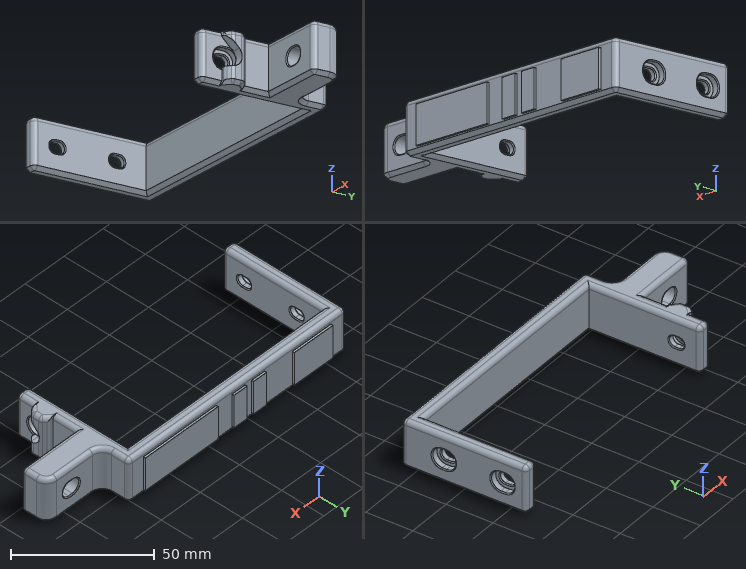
import cadquery as cq
import math

TOTAL_LENGTH = 139.4
HEIGHT = 20.0
MID_HEIGHT = HEIGHT / 2

FRAME_LENGTH = 111.4
FRAME_DEPTH = 53.1
WALL = 5.9
EDGE_RADIUS = 2.0
BASE_CHAMFER = 1.5

ARM_FRONT = 28.2
ARM_BACK = 40.3
ARM_ROOT_RADIUS = 4.6
ARM_END_RADIUS = 5.0

SLOT_STRAIGHT = 1.8
RIM_BEVEL = 0.4
ARM_HOLE_X = 126.9
ARM_HOLE_DIAMETER = 6.5
FRONT_HOLE_Y = 10.2
REAR_HOLE_Y = 35.1
LEG_HOLE_DIAMETER = 4.6
COUNTERBORE_DIAMETER = 8.1
COUNTERBORE_DEPTH = 2.9

CATCH_Y = 13.0
CATCH_REACH = 4.0
CATCH_WIDTH = 8.6
CATCH_TIP_WIDTH = 4.2
CATCH_ROOT_DEPTH = 4.2
RECESS_RADIUS = COUNTERBORE_DIAMETER / 2
RECESS_Y = 10.5
RECESS_Z = 10.5

PADS = ((7.7, 19.8), (41.7, 6.7), (51.7, 6.7), (66.5, 37.4))
PAD_THICKNESS = 1.0
PAD_BOTTOM = 2.1
PAD_TOP = 17.1


def soften_rims(body):
    """Round the top rim and bevel the bottom rim of an upright body."""
    return body.faces(">Z").edges().fillet(EDGE_RADIUS).faces("<Z").edges().chamfer(BASE_CHAMFER)


def vertical_edge(x, y):
    """Selector for the upright edge at a plan position."""
    return cq.selectors.NearestToPointSelector((x, y, MID_HEIGHT))


def make_frame():
    """U-shaped walls and the arm, as one outline."""
    outline = [
        (0, 0),
        (WALL, 0),
        (WALL, FRAME_DEPTH - WALL),
        (FRAME_LENGTH - WALL, FRAME_DEPTH - WALL),
        (FRAME_LENGTH - WALL, 0),
        (FRAME_LENGTH, 0),
        (FRAME_LENGTH, ARM_FRONT),
        (TOTAL_LENGTH, ARM_FRONT),
        (TOTAL_LENGTH, ARM_BACK),
        (FRAME_LENGTH, ARM_BACK),
        (FRAME_LENGTH, FRAME_DEPTH),
        (0, FRAME_DEPTH),
    ]
    frame = cq.Workplane("XY").polyline(outline).close().extrude(HEIGHT)
    frame = frame.edges(vertical_edge(FRAME_LENGTH, ARM_BACK)).fillet(ARM_ROOT_RADIUS)
    frame = frame.edges(vertical_edge(TOTAL_LENGTH, ARM_BACK)).fillet(ARM_END_RADIUS)
    small_corners = [
        (0, 0),
        (WALL, 0),
        (FRAME_LENGTH - WALL, 0),
        (FRAME_LENGTH, 0),
        (TOTAL_LENGTH, ARM_FRONT),
        (FRAME_LENGTH, FRAME_DEPTH),
        (0, FRAME_DEPTH),
    ]
    for x, y in small_corners:
        frame = frame.edges(vertical_edge(x, y)).fillet(EDGE_RADIUS)
    return soften_rims(frame)


def make_catch():
    """Wedge-nosed catch with flat flanks and an undercut recess open to the front."""
    root_x = FRAME_LENGTH - CATCH_ROOT_DEPTH
    tip_x = FRAME_LENGTH + CATCH_REACH
    reach = tip_x - root_x
    half_tip = CATCH_TIP_WIDTH / 2
    half_width = CATCH_WIDTH / 2

    wedge_outline = [
        (root_x, CATCH_Y - half_tip - reach),
        (tip_x, CATCH_Y - half_tip),
        (tip_x, CATCH_Y + half_tip),
        (root_x, CATCH_Y + half_tip + reach),
    ]
    wedge = cq.Workplane("XY").polyline(wedge_outline).close().extrude(HEIGHT)
    wedge = soften_rims(wedge.edges("|Z and >X").fillet(EDGE_RADIUS))

    shoulder_x = tip_x - (half_width - half_tip)
    trim_outline = [
        (FRAME_LENGTH - EDGE_RADIUS, CATCH_Y - half_width),
        (shoulder_x, CATCH_Y - half_width),
        (tip_x, CATCH_Y - half_tip),
        (tip_x, CATCH_Y + half_tip),
        (shoulder_x, CATCH_Y + half_width),
        (FRAME_LENGTH - EDGE_RADIUS, CATCH_Y + half_width),
    ]
    trim = cq.Workplane("XY").polyline(trim_outline).close().extrude(HEIGHT)
    for y in (CATCH_Y - half_width, CATCH_Y + half_width):
        trim = trim.edges(vertical_edge(shoulder_x, y)).fillet(EDGE_RADIUS)
    return wedge.intersect(trim).cut(make_recess())


def make_recess():
    """Round-backed recess with a 45-degree roof, running along X through the catch."""
    front_y = CATCH_Y - CATCH_WIDTH
    diagonal = RECESS_RADIUS * math.sqrt(0.5)
    roof_start = (RECESS_Y + diagonal, RECESS_Z + diagonal)
    roof_rise = roof_start[0] - front_y
    return (
        cq.Workplane("YZ", origin=(FRAME_LENGTH, 0, 0))
        .moveTo(front_y, RECESS_Z - RECESS_RADIUS)
        .lineTo(RECESS_Y, RECESS_Z - RECESS_RADIUS)
        .threePointArc((RECESS_Y + RECESS_RADIUS, RECESS_Z), roof_start)
        .lineTo(front_y, roof_start[1] + roof_rise)
        .close()
        .extrude(2 * CATCH_REACH)
    )


def oblong_cutter(plane, origin, diameter, depth):
    """Level oblong prism running from origin along the normal of the given plane."""
    return cq.Workplane(plane, origin=origin).slot2D(diameter + SLOT_STRAIGHT, diameter).extrude(depth)


def rim_cutter(plane, origin, diameter, direction):
    """45-degree bevel that narrows to the hole; direction is +1 or -1 along the plane normal."""
    rim = diameter + 2 * RIM_BEVEL
    sketch = cq.Workplane(plane, origin=origin).slot2D(rim + SLOT_STRAIGHT, rim)
    return sketch.extrude(direction * RIM_BEVEL, taper=45)


def leg_hole_cutters(outer_x, inward, y):
    """Counterbored hole through one leg; inward is +1 or -1 along X from the outer face."""
    outer = (outer_x, y, MID_HEIGHT)
    floor = (outer_x + inward * COUNTERBORE_DEPTH, y, MID_HEIGHT)
    inner = (outer_x + inward * WALL, y, MID_HEIGHT)
    return [
        oblong_cutter("YZ", outer, LEG_HOLE_DIAMETER, inward * WALL),
        oblong_cutter("YZ", outer, COUNTERBORE_DIAMETER, inward * COUNTERBORE_DEPTH),
        rim_cutter("YZ", outer, COUNTERBORE_DIAMETER, inward),
        rim_cutter("YZ", floor, LEG_HOLE_DIAMETER, inward),
        rim_cutter("YZ", inner, LEG_HOLE_DIAMETER, -inward),
    ]


def arm_hole_cutters():
    """Plain hole through the arm, bevelled at both ends."""
    front = (ARM_HOLE_X, ARM_FRONT, MID_HEIGHT)
    back = (ARM_HOLE_X, ARM_BACK, MID_HEIGHT)
    return [
        oblong_cutter("XZ", back, ARM_HOLE_DIAMETER, ARM_BACK - ARM_FRONT),
        rim_cutter("XZ", back, ARM_HOLE_DIAMETER, 1),
        rim_cutter("XZ", front, ARM_HOLE_DIAMETER, -1),
    ]


def make_pad(left, length):
    """Thin raised pad, rooted halfway into the back wall."""
    root = WALL / 2
    pad = cq.Workplane("XY").box(length, root + PAD_THICKNESS, PAD_TOP - PAD_BOTTOM, centered=False)
    return pad.translate((left, FRAME_DEPTH - root, PAD_BOTTOM))


bracket = make_frame().union(make_catch())

for pad_left, pad_length in PADS:
    bracket = bracket.union(make_pad(pad_left, pad_length))

hole_cutters = (
    leg_hole_cutters(0, 1, FRONT_HOLE_Y)
    + leg_hole_cutters(0, 1, REAR_HOLE_Y)
    + leg_hole_cutters(FRAME_LENGTH, -1, FRONT_HOLE_Y)
    + arm_hole_cutters()
)
for cutter in hole_cutters:
    bracket = bracket.cut(cutter)

result = bracket